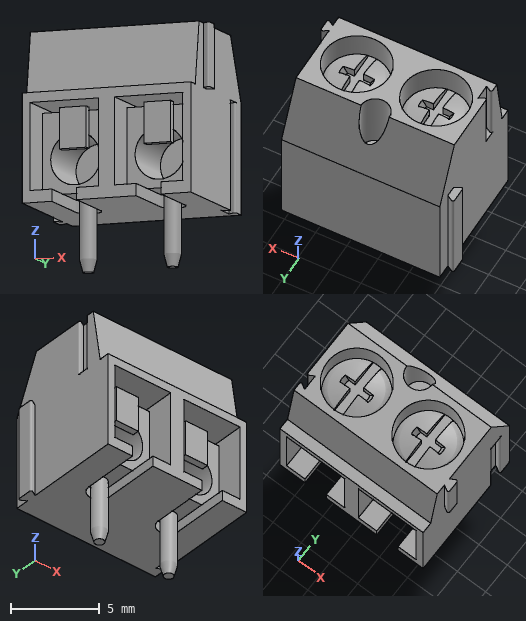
import cadquery as cq
import math


pole_count = 2
pitch = 5.08
pole_places = [(index - (pole_count - 1) / 2) * pitch for index in range(pole_count)]

housing_length = pole_count * pitch
housing_depth = 8.0
housing_height = 10.0
step_height = 6.3
front_y = -3.8
back_y = front_y + housing_depth
step_ledge = 0.7
top_front_setback = 1.3
top_back_setback = 1.7
side_x = housing_length / 2

cage_size = 4.0
cage_bottom = 0.7
cage_top = 5.4
wire_hole_radius = 1.5
wire_hole_height = 2.7
guard_width = 1.6
guard_thickness = 0.45
guard_bottom = 3.22
guard_top = 5.58
pin_radius = 0.5
pin_tip_radius = 0.31
pin_tip_length = 0.72
pin_length_below = 3.5

pocket_width = 4.1
pocket_top = 5.73
pocket_back_y = cage_size / 2
floor_slot_width = 1.5

well_radius = 2.05
well_floor = 7.0
screw_radius = 2.0
screw_apex = 9.04
dome_radius = 5.0
rim_fillet = 0.55
drive_depth = 0.56
long_slot_width = 0.6
short_slot_width = 0.5
short_slot_top_radius = 1.09
short_slot_bottom_radius = 0.78
dimple_radius = 0.55
dimple_depth = 0.05

back_hole_radius = 0.9
back_hole_floor = step_height
back_hole_y = back_y - top_back_setback

dovetail_flank = math.radians(30)
dovetail_round = 0.1
lower_rib_y = 2.93
lower_rib_reach = 0.5
lower_rib_width = 1.25
upper_rib_y = -1.6
upper_rib_reach = 0.45
upper_rib_width = 0.98


def upright_cylinder(radius, x, y, bottom, top):
    return cq.Workplane("XY", origin=(x, y, bottom)).circle(radius).extrude(top - bottom)


def upright_box(x, width, y_range, z_range):
    """Box centred on x, between two Y and two Z limits."""
    y_start, y_end = y_range
    z_start, z_end = z_range
    box = cq.Workplane("XY").box(width, y_end - y_start, z_end - z_start, centered=(True, False, False))
    return box.translate((x, y_start, z_start))


def dovetail(root_x, direction, y, reach, wide_width, bottom, top):
    """Upright prism that widens along X from root_x; direction is +1 or -1."""
    half_wide = wide_width / 2
    half_root = half_wide - reach * math.tan(dovetail_flank)
    wide_x = root_x + direction * reach
    outline = [
        (root_x, y - half_root),
        (wide_x, y - half_wide),
        (wide_x, y + half_wide),
        (root_x, y + half_root),
    ]
    return cq.Workplane("XY", origin=(0, 0, bottom)).polyline(outline).close().extrude(top - bottom)


def add_rib(body, side, y, reach, wide_width, bottom, top):
    """Add a dovetail rib with rounded wide edges to the end face at side (+1 or -1)."""
    outer_face = ">X" if side > 0 else "<X"
    rib = dovetail(side * side_x, side, y, reach, wide_width, bottom, top)
    return body.union(rib.faces(outer_face).edges("|Z").fillet(dovetail_round))


def cut_groove(body, side, y, reach, wide_width, bottom, top):
    """Cut a dovetail groove with a rounded mouth into the end face at side (+1 or -1)."""
    body = body.cut(dovetail(side * side_x, -side, y, reach, wide_width, bottom, top))
    half_mouth = wide_width / 2 - reach * math.tan(dovetail_flank)
    for mouth_side in (-1, 1):
        mouth_edge = (side * side_x, y + mouth_side * half_mouth, (bottom + top) / 2)
        body = body.edges(cq.selectors.NearestToPointSelector(mouth_edge)).fillet(dovetail_round)
    return body


def make_housing():
    profile = [
        (front_y, 0),
        (front_y, step_height),
        (front_y + step_ledge, step_height),
        (front_y + top_front_setback, housing_height),
        (back_y - top_back_setback, housing_height),
        (back_y, step_height),
        (back_y, 0),
    ]
    body = cq.Workplane("YZ", origin=(-side_x, 0, 0)).polyline(profile).close().extrude(housing_length)

    for x in pole_places:
        body = body.cut(upright_box(x, pocket_width, (front_y, pocket_back_y), (cage_bottom, pocket_top)))
        body = body.cut(upright_box(x, floor_slot_width, (front_y, 0), (0, cage_bottom)))
        body = body.cut(upright_cylinder(floor_slot_width / 2, x, 0, 0, cage_bottom))
        body = body.cut(upright_cylinder(well_radius, x, 0, well_floor, housing_height))

    body = body.cut(upright_cylinder(back_hole_radius, 0, back_hole_y, back_hole_floor, housing_height))

    lower_joint = (lower_rib_y, lower_rib_reach, lower_rib_width, 0, step_height)
    upper_joint = (upper_rib_y, upper_rib_reach, upper_rib_width, step_height, housing_height)
    body = cut_groove(body, 1, *lower_joint)
    body = cut_groove(body, -1, *upper_joint)
    body = add_rib(body, -1, *lower_joint)
    body = add_rib(body, 1, *upper_joint)
    return body


def make_contact(x):
    half_cage = cage_size / 2
    cage = upright_box(x, cage_size, (-half_cage, half_cage), (cage_bottom, cage_top))
    wire_hole = cq.Workplane("XZ", origin=(x, half_cage, wire_hole_height))
    cage = cage.cut(wire_hole.circle(wire_hole_radius).extrude(cage_size))

    guard = upright_box(
        x, guard_width, (-half_cage - guard_thickness, -half_cage), (guard_bottom, guard_top)
    )

    pin_outline = [
        (0, cage_bottom),
        (pin_radius, cage_bottom),
        (pin_radius, -pin_length_below + pin_tip_length),
        (pin_tip_radius, -pin_length_below),
        (0, -pin_length_below),
    ]
    pin = cq.Workplane("XZ", origin=(x, 0, 0)).polyline(pin_outline).close().revolve(360, (0, 0), (0, 1))
    return cage.union(guard).union(pin)


def make_screw(x):
    blank = upright_cylinder(screw_radius, x, 0, well_floor, screw_apex)
    dome = cq.Workplane("XY", origin=(x, 0, screw_apex - dome_radius)).sphere(dome_radius)
    head = blank.intersect(dome).faces(">Z").edges().fillet(rim_fillet)

    drive_floor = screw_apex - drive_depth
    drive_heights = (drive_floor, screw_apex)
    long_slot = upright_box(x, long_slot_width, (-screw_radius, screw_radius), drive_heights)
    short_slot = upright_box(
        x, 2 * short_slot_top_radius, (-short_slot_width / 2, short_slot_width / 2), drive_heights
    )
    taper = cq.Solid.makeCone(
        short_slot_bottom_radius, short_slot_top_radius, drive_depth, pnt=cq.Vector(x, 0, drive_floor)
    )

    dimple_rim = screw_apex - dome_radius + math.sqrt(dome_radius**2 - dimple_radius**2)
    dimple = cq.Solid.makeCone(
        0, 2 * dimple_radius, 2 * dimple_depth, pnt=cq.Vector(x, 0, dimple_rim - dimple_depth)
    )
    return head.cut(long_slot).cut(short_slot.intersect(cq.Workplane(taper))).cut(cq.Workplane(dimple))


housing = make_housing()
contacts = [make_contact(x) for x in pole_places]
screws = [make_screw(x) for x in pole_places]

result = cq.Compound.makeCompound(
    [housing.val(), *[contact.val() for contact in contacts], *[screw.val() for screw in screws]]
)